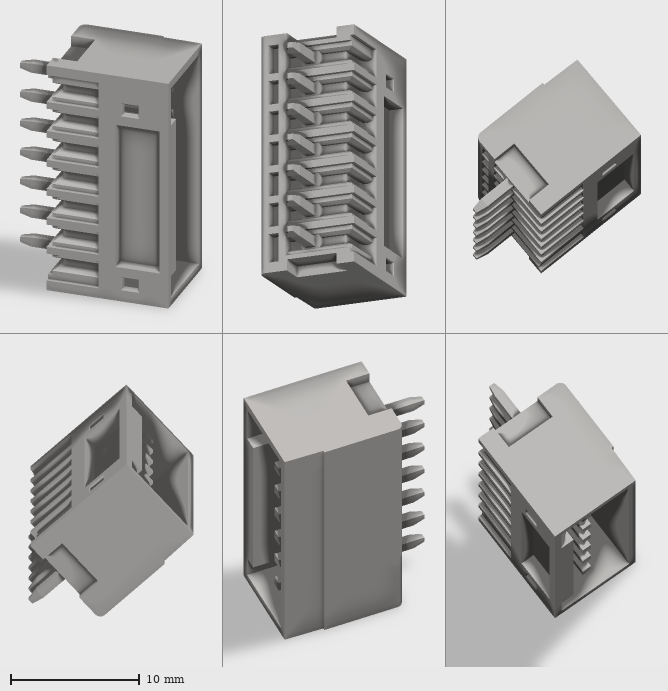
import cadquery as cq
import math

HEIGHT = 19.4
BODY_LENGTH = 10.09
BODY_DEPTH = 8.1
BACK_CORNER_RADIUS = 0.55
BACK_STEP_X = 6.8
BACK_STEP_Y = 7.92
BACK_END_Y = 7.84

PIN_COUNT = 7
PIN_PITCH = 2.5
PIN_SIZE = 0.8
PIN_TIP_SIZE = 0.45
PIN_TIP_X = -3.51
PIN_TAPER_X = -2.52
PIN_END_X = 9.0
PIN_Y = 3.9

RECESS_END_X = 4.3
RECESS_END_Y = 5.84
STEP_DEPTH = 0.35
STEP_HEIGHT = 1.92
OUTER_REACH_Z = 8.87
CHANNEL_HEIGHT = PIN_SIZE
MOUTH_TAPER_DEPTH = 0.35
MOUTH_TAPER_HEIGHT = 0.21
MOUTH_HEIGHT = CHANNEL_HEIGHT + 2 * MOUTH_TAPER_HEIGHT
CHANNEL_DEPTH_SIDE = 0.99
CHANNEL_DEPTH_FRONT = 1.1
CHANNEL_END_RADIUS = 0.99
COLLAR_RADIUS = 0.87
COLLAR_X = 0.5

NOTCH_X = 3.76
NOTCH_WIDTH = 0.27
NOTCH_ROWS = range(2, PIN_COUNT - 1)

SLOT_Y = 6.46
SLOT_WIDTH = 0.83
SLOT_DEPTH = CHANNEL_DEPTH_SIDE

REBATE_LENGTH = 2.0
REBATE_Y = 1.5
REBATE_WIDTH = 4.25
REBATE_DEPTH = 0.9

FRONT_CENTRE_Z = -0.65
POCKET_X = 5.7
POCKET_LENGTH = 3.67
POCKET_HEIGHT = 12.26
POCKET_DEPTH = 1.16
WINDOW_X = 6.17
WINDOW_LENGTH = 1.5
WINDOW_HEIGHT = 1.13
WINDOW_LIP = 0.05

WALL = 0.65
CAVITY_X = 5.0
PAD_MARGIN = 0.39

OUTER_PIN_Z = PIN_PITCH * (PIN_COUNT - 1) / 2
PIN_LEVELS = [OUTER_PIN_Z - row * PIN_PITCH for row in range(PIN_COUNT)]


def box(x0, x1, y0, y1, z0, z1):
    return cq.Workplane("XY").box(x1 - x0, y1 - y0, z1 - z0, centered=False).translate((x0, y0, z0))


def row_span(z):
    """Lower and upper limit of a row, stretched outwards for the two end rows."""
    low = z - STEP_HEIGHT / 2
    high = z + STEP_HEIGHT / 2
    if z == PIN_LEVELS[0]:
        high = OUTER_REACH_Z
    if z == PIN_LEVELS[-1]:
        low = -OUTER_REACH_Z
    return low, high


def housing_block():
    outline = (
        cq.Workplane("XY")
        .workplane(offset=-HEIGHT / 2)
        .lineTo(BODY_LENGTH, 0)
        .lineTo(BODY_LENGTH, BACK_END_Y)
        .lineTo(BACK_STEP_X, BACK_STEP_Y)
        .lineTo(BACK_STEP_X, BODY_DEPTH)
        .lineTo(BACK_CORNER_RADIUS, BODY_DEPTH)
        .radiusArc((0, BODY_DEPTH - BACK_CORNER_RADIUS), -BACK_CORNER_RADIUS)
        .close()
    )
    return outline.extrude(HEIGHT)


def mating_cavity():
    """Open cavity, less the pad that carries the front pocket."""
    end_z = HEIGHT / 2 - WALL
    pad_height = POCKET_HEIGHT + 2 * PAD_MARGIN
    pad_low = FRONT_CENTRE_Z - pad_height / 2
    cavity = box(CAVITY_X, BODY_LENGTH, WALL, BACK_END_Y - WALL, -end_z, end_z)
    pad = box(CAVITY_X, BODY_LENGTH, 0, POCKET_DEPTH + WALL, pad_low, pad_low + pad_height)
    return cavity.cut(pad)


def front_pocket():
    low = FRONT_CENTRE_Z - POCKET_HEIGHT / 2
    return box(POCKET_X, POCKET_X + POCKET_LENGTH, 0, POCKET_DEPTH, low, low + POCKET_HEIGHT)


def window(z):
    """Opening through the front wall with a small chamfered lip."""
    plane = cq.Workplane("XZ").center(WINDOW_X + WINDOW_LENGTH / 2, z)
    inner_length = WINDOW_LENGTH - 2 * WINDOW_LIP
    inner_height = WINDOW_HEIGHT - 2 * WINDOW_LIP
    opening = plane.rect(inner_length, inner_height).extrude(-WALL)
    lip = plane.rect(WINDOW_LENGTH, WINDOW_HEIGHT).workplane(offset=-WINDOW_LIP)
    lip = lip.rect(inner_length, inner_height).loft(ruled=True)
    return opening.union(lip)


def step_recess(z):
    """Shallow L-shaped step that wraps from the pin side round to the front."""
    low, high = row_span(z)
    side = box(0, STEP_DEPTH, 0, RECESS_END_Y, z - STEP_HEIGHT / 2, z + STEP_HEIGHT / 2)
    front = box(0, RECESS_END_X, 0, STEP_DEPTH, low, high)
    return side.union(front)


def channel_footprint(height):
    """L-shaped channel, centred on z = 0, whose front leg ends in an arc tangent to its floor."""
    arc_rise = CHANNEL_DEPTH_FRONT - STEP_DEPTH
    arc_run = math.sqrt(CHANNEL_END_RADIUS**2 - (CHANNEL_END_RADIUS - arc_rise) ** 2)
    outline = (
        cq.Workplane("XY")
        .workplane(offset=-height / 2)
        .lineTo(RECESS_END_X, 0)
        .lineTo(RECESS_END_X, STEP_DEPTH)
        .radiusArc((RECESS_END_X - arc_run, CHANNEL_DEPTH_FRONT), -CHANNEL_END_RADIUS)
        .lineTo(CHANNEL_DEPTH_SIDE, CHANNEL_DEPTH_FRONT)
        .lineTo(CHANNEL_DEPTH_SIDE, RECESS_END_Y)
        .lineTo(0, RECESS_END_Y)
        .close()
    )
    return outline.extrude(height)


def mouth_profile(plane):
    """Tapered section of the channel mouth; the local first axis points into the housing."""
    return cq.Workplane(plane).polyline(
        [
            (STEP_DEPTH, -MOUTH_HEIGHT / 2),
            (STEP_DEPTH + MOUTH_TAPER_DEPTH, -CHANNEL_HEIGHT / 2),
            (STEP_DEPTH + MOUTH_TAPER_DEPTH, CHANNEL_HEIGHT / 2),
            (STEP_DEPTH, MOUTH_HEIGHT / 2),
        ]
    ).close()


def collar(x0, x1):
    """Round bar along X about the pin, flattened to the height of the channel mouth."""
    bar = cq.Workplane("YZ").workplane(offset=x0).center(PIN_Y, 0).circle(COLLAR_RADIUS).extrude(x1 - x0)
    low_y = PIN_Y - COLLAR_RADIUS
    high_y = PIN_Y + COLLAR_RADIUS
    return bar.intersect(box(x0, x1, low_y, high_y, -MOUTH_HEIGHT / 2, MOUTH_HEIGHT / 2))


def channel():
    """Deep channel with tapered mouth and the flat seat cut for the pin collar."""
    side_mouth = mouth_profile("XZ").extrude(-RECESS_END_Y)
    front_mouth = mouth_profile("YZ").extrude(RECESS_END_X)
    mouth = side_mouth.union(front_mouth).intersect(channel_footprint(MOUTH_HEIGHT))
    collar_seat = collar(0, COLLAR_X)
    return channel_footprint(CHANNEL_HEIGHT).union(mouth).union(collar_seat)


def channel_notch(z):
    """Flat-bottomed notch, level with the channel floor, in the rounded end."""
    low = z - CHANNEL_HEIGHT / 2
    end_x = NOTCH_X + NOTCH_WIDTH
    return box(NOTCH_X, end_x, STEP_DEPTH, CHANNEL_DEPTH_FRONT, low, low + CHANNEL_HEIGHT)


def pin():
    shaft = (
        cq.Workplane("YZ")
        .workplane(offset=PIN_TAPER_X)
        .center(PIN_Y, 0)
        .rect(PIN_SIZE, PIN_SIZE)
        .extrude(PIN_END_X - PIN_TAPER_X)
    )
    tip = (
        cq.Workplane("YZ")
        .workplane(offset=PIN_TIP_X)
        .center(PIN_Y, 0)
        .rect(PIN_TIP_SIZE, PIN_TIP_SIZE)
        .workplane(offset=PIN_TAPER_X - PIN_TIP_X)
        .rect(PIN_SIZE, PIN_SIZE)
        .loft(ruled=True)
    )
    return shaft.union(tip)


def side_slot(z):
    low, high = row_span(z)
    return box(0, SLOT_DEPTH, SLOT_Y, SLOT_Y + SLOT_WIDTH, low, high)


def end_rebate():
    top = HEIGHT / 2
    return box(0, REBATE_LENGTH, REBATE_Y, REBATE_Y + REBATE_WIDTH, top - REBATE_DEPTH, top)


body = housing_block().cut(mating_cavity()).cut(front_pocket())
body = body.cut(end_rebate()).cut(end_rebate().mirror("XY"))

for z in (PIN_LEVELS[0], PIN_LEVELS[-1]):
    body = body.cut(window(z + FRONT_CENTRE_Z))

row_channel = channel()
for z in PIN_LEVELS:
    body = body.cut(step_recess(z)).cut(side_slot(z)).cut(row_channel.translate((0, 0, z)))

for row in NOTCH_ROWS:
    body = body.cut(channel_notch(PIN_LEVELS[row]))

pin_with_collar = pin().union(collar(COLLAR_X, CHANNEL_DEPTH_SIDE))
for z in PIN_LEVELS:
    body = body.union(pin_with_collar.translate((0, 0, z)))

result = body